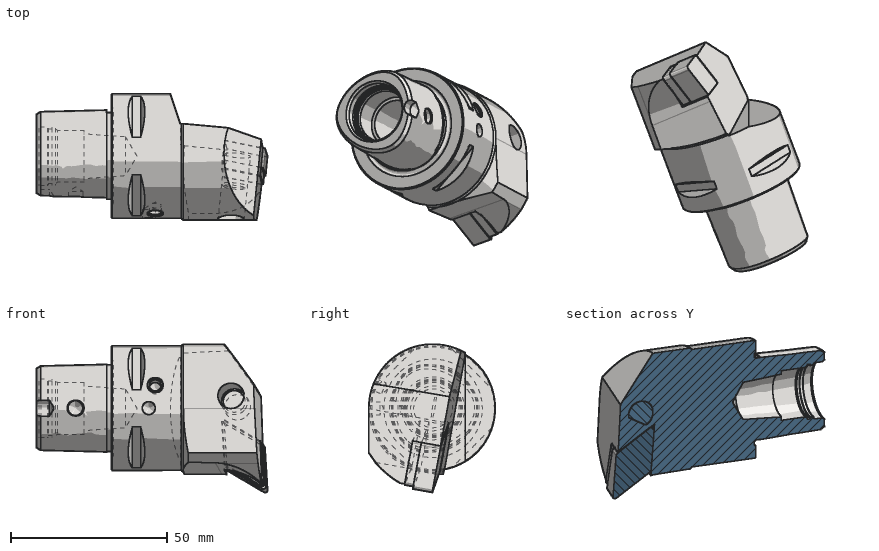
import cadquery as cq
import math

shank_length = 24.0
head_reach = 50.0
nose_drop = 27.0
flange_radius = 20.0
head_radius = 20.5

shank_radius = 14.05
shank_lobe = 0.7
shank_taper = 1 / 40
shank_end_chamfer_length = 1.4
shank_end_chamfer_depth = 0.9
neck_length = 1.5
neck_radius = 13.9
face_groove_radius = 15.75
face_groove_depth = 0.6

mouth_radius = 10.1
bore_radius = 9.4
bore_start_x = -23.15
bore_end_x = -20.4
step_radius = 8.95
step_x = -20.1
land_radius = 8.7
ring_groove_radius = 9.2
ring_groove_start_x = -19.0
ring_groove_end_x = -18.0
inner_bore_radius = 8.3
inner_bore_start_x = -17.25
inner_bore_end_x = -8.9
well_radius = 7.2
well_floor_radius = 6.2
well_end_x = 4.45
drill_half_angle = math.radians(59)

flange_chamfer = 0.4
flange_end_x = 22.35
head_start_x = 23.1
relief_top_x = 18.9
relief_foot_x = 22.05
relief_foot_y = 10.4

grip_floor_radius = 17.7
grip_floor_width = 2.6
grip_mouth_width = 5.3
grip_x = 8.1
grip_first_angle = 45
grip_count = 4

head_flat_y = -head_radius
flat_end_z = -14.3
facet_end = (-18.1, -17.7)
flank_middle = (-13.7, -21.8)
flank_end = (-9.0, -24.8)
section_floor_z = -29.6
head_back_slope = 0.33

slope_start_x = 36.05
slope_drop_x = 1.4
slope_drop_y = 0.03

insert_tilt_x = 0.1
insert_tilt_z = -0.18
approach_angle = 94.5
corner_angle = 55.0
nose_radius = 0.8
insert_side = 15.5
insert_thickness = 6.4
shim_thickness = 2.9
shim_inset = 0.5

head_face_depth = 0.15
head_depth = 44.4
outline_left = -37.0
outline_top = 59.2
underside_v = 5.1
swoop_start_u = -14.05
swoop_middle = (-4.95, 3.1)
swoop_end = (-0.2, 0.3)
end_face_angle = math.radians(93)

screw_hole_x = 38.25
screw_hole_y = -20.05
screw_hole_z = 4.0
screw_radius = 4.15
screw_depth = 10.35
screw_length = 10.35
screw_chamfer = 0.7

drive_hole_radius = 2.6
drive_hole_y = -13.2
drive_hole_depth = 4.2
shank_hole_x = -11.5
shank_hole_radius = 2.4
shank_hole_rim = 2.7
shank_hole_depth = 1.85
flange_hole_x = 12.0
flange_hole_radius = 2.1
flange_hole_depth = 2.95
coolant_x = 14.05
coolant_angle = 22.0
coolant_radius = 1.9
coolant_depth = 2.95
coolant_rim_radius = 2.5
coolant_rim_depth = 0.6

margin = 7.4
oversize = 222.0

axis = cq.Vector(insert_tilt_x, 1, insert_tilt_z).normalized()
nose_centre = cq.Vector(
    head_reach - nose_radius * math.sqrt(1 - axis.x**2),
    0,
    -nose_drop + nose_radius * math.sqrt(1 - axis.z**2),
)
insert_plane = cq.Plane(origin=nose_centre, xDir=(1, -insert_tilt_x, 0), normal=axis * -1)


def direction(degrees):
    """Unit vector in the insert plane."""
    angle = math.radians(degrees)
    return cq.Vector(math.cos(angle), math.sin(angle))


end_edge = direction(approach_angle)
trailing_edge = direction(approach_angle + corner_angle)
bisector = direction(approach_angle + corner_angle / 2)
sharp_corner = bisector * (-nose_radius / math.sin(math.radians(corner_angle / 2)))
inner_corner = sharp_corner + (end_edge + trailing_edge) * insert_side


def insert_layer(depth):
    """Sketch plane at a depth below the rake face."""
    return cq.Workplane(insert_plane).workplane(offset=depth)


def flat_points(vectors):
    """Plain (x, y) pairs of vectors in the insert plane."""
    return [(v.x, v.y) for v in vectors]


def rhombic_plate(side, depth, thickness):
    """55 degree plate that rests against the inner corner of the pocket."""
    corners = [
        inner_corner,
        inner_corner - end_edge * side,
        inner_corner - (end_edge + trailing_edge) * side,
        inner_corner - trailing_edge * side,
    ]
    plate = insert_layer(depth).polyline(flat_points(corners)).close().extrude(thickness)
    return plate.edges(cq.selectors.ParallelDirSelector(axis)).fillet(nose_radius)


def revolved(points):
    """Solid of revolution about X from (x, radius) points."""
    return cq.Workplane("XY").polyline(points).close().revolve(360, (0, 0, 0), (1, 0, 0))


def drilled_hole(radius, depth):
    """Blind hole along +X from x = 0 with a drill tip."""
    tip = radius / math.tan(drill_half_angle)
    return revolved([(-margin, 0), (-margin, radius), (depth, radius), (depth + tip, 0)])


def shank_section(x, radius):
    """Three-lobed section with one lobe towards +Y."""
    def point(turn):
        angle = 2 * math.pi * turn
        reach = radius + shank_lobe * math.cos(3 * angle)
        swing = -3 * shank_lobe * math.sin(3 * angle)
        return (
            reach * math.cos(angle) - swing * math.sin(angle),
            reach * math.sin(angle) + swing * math.cos(angle),
        )
    curve = cq.Workplane("YZ", origin=(x, 0, 0)).parametricCurve(point, N=72)
    return curve.val()


def make_shank():
    taper_start_x = -shank_length + shank_end_chamfer_length
    small_radius = shank_radius + shank_taper * (taper_start_x + neck_length)
    tip = shank_section(-shank_length, small_radius - shank_end_chamfer_depth)
    small_end = shank_section(taper_start_x, small_radius)
    large_end = shank_section(-neck_length, shank_radius)
    taper = cq.Solid.makeLoft([small_end, large_end], True)
    chamfer = cq.Solid.makeLoft([tip, small_end], True)
    return cq.Workplane(taper).union(cq.Workplane(chamfer))


def make_shank_bore():
    drill_tip_x = well_end_x + well_floor_radius / math.tan(drill_half_angle)
    return revolved([
        (-shank_length, 0), (-shank_length, mouth_radius),
        (bore_start_x, bore_radius), (bore_end_x, bore_radius),
        (step_x, step_radius), (step_x, land_radius),
        (ring_groove_start_x, land_radius), (ring_groove_start_x, ring_groove_radius),
        (ring_groove_end_x, ring_groove_radius), (ring_groove_end_x, land_radius),
        (inner_bore_start_x, inner_bore_radius), (inner_bore_end_x, inner_bore_radius),
        (inner_bore_end_x, well_radius),
        (well_end_x, well_floor_radius), (drill_tip_x, 0),
    ])


def make_flange():
    """Flange with the neck in front and the step up to the head behind."""
    body = revolved([
        (-neck_length, 0), (-neck_length, neck_radius), (0, neck_radius),
        (0, flange_radius - flange_chamfer), (flange_chamfer, flange_radius),
        (flange_end_x, flange_radius), (head_start_x, head_radius), (head_start_x, 0),
    ])
    groove = (
        cq.Workplane("XY")
        .moveTo(0, neck_radius)
        .threePointArc(
            (face_groove_depth, (neck_radius + face_groove_radius) / 2), (0, face_groove_radius)
        )
        .close()
        .revolve(360, (0, 0, 0), (1, 0, 0))
    )
    return body.cut(groove)


def make_relief():
    """Space beside the head on the +Y side, in front of a sloped shoulder."""
    run = (relief_foot_x - relief_top_x) / (flange_radius - relief_foot_y)
    top_y = flange_radius + margin
    shoulder = (
        cq.Workplane("XY", origin=(0, 0, -nose_drop - margin))
        .polyline([
            (relief_top_x - run * margin, top_y),
            (relief_foot_x, relief_foot_y),
            (relief_foot_x, 0),
            (head_reach + margin, 0),
            (head_reach + margin, top_y),
        ])
        .close()
        .extrude(2 * (nose_drop + margin))
    )
    above_face = insert_layer(head_face_depth).rect(oversize, oversize).extrude(-head_depth)
    return shoulder.intersect(above_face)


def make_grip_slots():
    """V-sided slots across the flange surface."""
    depth = flange_radius - grip_floor_radius
    half_flare = (grip_mouth_width - grip_floor_width) / 2
    top_half_width = grip_mouth_width / 2 + half_flare
    slot = (
        cq.Workplane("XZ")
        .polyline([
            (grip_x - grip_floor_width / 2, grip_floor_radius),
            (grip_x + grip_floor_width / 2, grip_floor_radius),
            (grip_x + top_half_width, flange_radius + depth),
            (grip_x - top_half_width, flange_radius + depth),
        ])
        .close()
        .extrude(flange_radius, both=True)
    )
    step = 360 / grip_count
    return [
        slot.rotate((0, 0, 0), (1, 0, 0), grip_first_angle + i * step) for i in range(grip_count)
    ]


def make_head_section():
    """Section across the tool axis, carried from the flange past the nose."""
    return (
        cq.Workplane("YZ", origin=(head_start_x, 0, 0))
        .moveTo(head_flat_y, 0)
        .lineTo(head_flat_y, flat_end_z)
        .lineTo(*facet_end)
        .threePointArc(flank_middle, flank_end)
        .lineTo(0, section_floor_z)
        .lineTo(head_radius, section_floor_z)
        .lineTo(head_radius, 0)
        .threePointArc((0, head_radius), (head_flat_y, 0))
        .close()
        .extrude(head_reach - head_start_x + margin)
    )


def make_head_outline():
    """Outline square to the insert: underside, clearance below the insert, end face."""
    end_top_u = swoop_end[0] + (outline_top - swoop_end[1]) / math.tan(end_face_angle)
    return (
        insert_layer(head_face_depth)
        .moveTo(outline_left, underside_v)
        .lineTo(swoop_start_u, underside_v)
        .threePointArc(swoop_middle, swoop_end)
        .lineTo(end_top_u, outline_top)
        .lineTo(outline_left, outline_top)
        .close()
        .extrude(head_depth)
    )


def make_head_back_cut():
    """Conical space behind the part of the head that stands outside the head radius."""
    outer_radius = 2 * head_radius
    return revolved([
        (flange_end_x - margin, head_radius), (head_start_x, head_radius),
        (head_start_x + head_back_slope * (outer_radius - head_radius), outer_radius),
        (flange_end_x - margin, outer_radius),
    ])


def make_top_cut():
    """Everything above the sloped top plane."""
    plane = cq.Plane(
        origin=(slope_start_x, 0, head_radius),
        xDir=(1, 0, -slope_drop_x),
        normal=(slope_drop_x, slope_drop_y, 1),
    )
    return cq.Workplane(plane).rect(oversize, oversize).extrude(oversize)


def make_pocket():
    """Seat of the insert and shim, open at the end and below."""
    back_corner = inner_corner - end_edge * insert_side
    below = sharp_corner.y - margin
    outside = head_reach - slope_start_x
    top_end = inner_corner - trailing_edge * (insert_side + margin)
    points = flat_points([inner_corner, back_corner])
    points += [(back_corner.x, below), (outside, below), (outside, top_end.y), (top_end.x, top_end.y)]
    return insert_layer(-margin).polyline(points).close().extrude(
        margin + insert_thickness + shim_thickness
    )


def make_head():
    head = make_head_section().intersect(make_head_outline())
    for cut in (make_head_back_cut(), make_top_cut(), make_pocket()):
        head = head.cut(cut)
    return head


screw_plane = cq.Plane(
    origin=(screw_hole_x, screw_hole_y, screw_hole_z), xDir=(1, -insert_tilt_x, 0), normal=axis
)


def make_screw_hole():
    """Hole from the -Y side, ending where the screw ends."""
    return (
        cq.Workplane(screw_plane)
        .workplane(offset=-margin)
        .circle(screw_radius)
        .extrude(margin + screw_depth + screw_length)
    )


def make_screw():
    """Screw that fills the hole from its recessed, chamfered end inwards."""
    screw = cq.Workplane(screw_plane).workplane(offset=screw_depth).circle(screw_radius)
    screw = screw.extrude(screw_length)
    return screw.faces(cq.selectors.DirectionMinMaxSelector(axis, False)).chamfer(screw_chamfer)


def towards_axis(hole, x, entry_radius, angle):
    """Turn a hole along +X so that it enters from -Y, then swing it up around the tool axis."""
    placed = hole.rotate((0, 0, 0), (0, 0, 1), 90).translate((x, -entry_radius, 0))
    return placed.rotate((0, 0, 0), (1, 0, 0), -angle)


def make_small_holes():
    drive = drilled_hole(drive_hole_radius, drive_hole_depth)
    flange = drilled_hole(flange_hole_radius, flange_hole_depth)
    countersink = cq.Workplane(cq.Solid.makeCone(
        2 * shank_hole_rim, 0, 2 * shank_hole_rim, cq.Vector(-shank_hole_rim, 0, 0), cq.Vector(1, 0, 0)
    ))
    shank = drilled_hole(shank_hole_radius, shank_hole_depth).union(countersink)
    counterbore = cq.Workplane("YZ").circle(coolant_rim_radius).extrude(margin)
    counterbore = counterbore.translate((coolant_rim_depth - margin, 0, 0))
    coolant = drilled_hole(coolant_radius, coolant_depth).union(counterbore)
    shank_surface = shank_radius - shank_lobe + shank_taper * shank_hole_x
    return [
        drive.translate((-shank_length, drive_hole_y, 0)),
        towards_axis(shank, shank_hole_x, shank_surface, 0),
        towards_axis(flange, flange_hole_x, flange_radius, 0),
        towards_axis(coolant, coolant_x, flange_radius, coolant_angle),
    ]


def make_holder():
    holder = make_shank().union(make_flange()).cut(make_relief()).union(make_head())
    for cut in [make_shank_bore(), make_screw_hole(), *make_grip_slots(), *make_small_holes()]:
        holder = holder.cut(cut)
    return holder


holder = make_holder()
insert = rhombic_plate(insert_side, 0, insert_thickness)
shim = rhombic_plate(insert_side - shim_inset, insert_thickness, shim_thickness)
screw = make_screw()

result = cq.Compound.makeCompound([holder.val(), insert.val(), shim.val(), screw.val()])